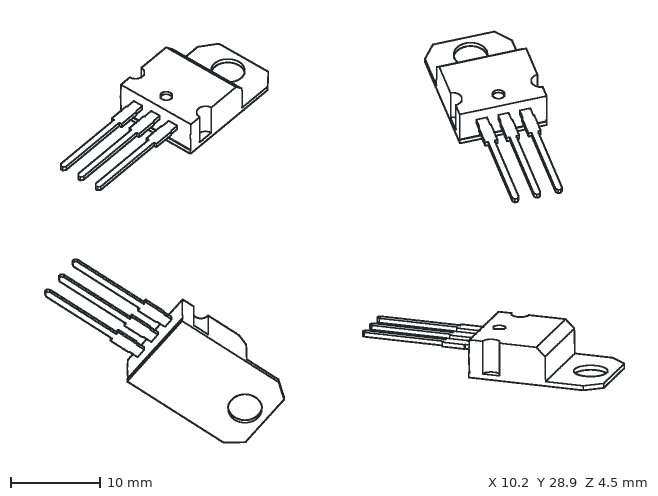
import cadquery as cq

width = 10.2
height = 4.5

tab_length = 15.5
tab_thickness = 0.55
tab_corner_x = 1.5
tab_corner_y = 1.92
hole_diameter = 3.8
hole_to_tab_end = 2.77

body_length = 9.12
parting_height = 2.65
front_top_inset = 0.08
front_bottom_inset = 0.08
back_draft = 0.06
bevel_length = 1.04
bevel_height = 1.0

notch_radius = 1.0
notch_y = 2.65
notch_floor = 0.62
mark_diameter = 1.4
mark_y = 1.9
mark_depth = 0.4

lead_count = 3
lead_pitch = 2.54
lead_thickness = 0.53
lead_reach = 13.4
lead_embed = 0.5
neck_width = 1.25
neck_length = 1.07
shoulder_width = 1.45
shoulder_end = 3.76
shoulder_bevel = (shoulder_width - neck_width) / 2
pin_width = 0.76
tip_bevel_x = 0.22
tip_bevel_y = 0.3


def make_tab():
    """Flat plate with two clipped far corners and a mounting hole."""
    half = width / 2
    plate = (
        cq.Workplane("XY")
        .polyline([
            (-half, 0),
            (half, 0),
            (half, tab_length - tab_corner_y),
            (half - tab_corner_x, tab_length),
            (-half + tab_corner_x, tab_length),
            (-half, tab_length - tab_corner_y),
        ])
        .close()
        .extrude(tab_thickness)
    )
    hole = (
        cq.Workplane("XY")
        .center(0, tab_length - hole_to_tab_end)
        .circle(hole_diameter / 2)
        .extrude(tab_thickness)
    )
    return plate.cut(hole)


def make_body():
    """Drafted side profile, in Y and Z, swept across the full width."""
    bevel_start_y = body_length - back_draft
    return (
        cq.Workplane("YZ")
        .polyline([
            (front_bottom_inset, tab_thickness),
            (0, parting_height),
            (front_top_inset, height),
            (bevel_start_y - bevel_length, height),
            (bevel_start_y, height - bevel_height),
            (body_length, tab_thickness),
        ])
        .close()
        .extrude(width / 2, both=True)
    )


def make_notches():
    """Round cutters centred on both side faces, standing on the notch floor."""
    return (
        cq.Workplane("XY")
        .workplane(offset=notch_floor)
        .pushPoints([(-width / 2, notch_y), (width / 2, notch_y)])
        .circle(notch_radius)
        .extrude(height - notch_floor)
    )


def make_pin_mark():
    """Shallow round cutter for the recess in the top face."""
    return (
        cq.Workplane("XY")
        .workplane(offset=height - mark_depth)
        .center(0, mark_y)
        .circle(mark_diameter / 2)
        .extrude(mark_depth)
    )


def make_lead(center_x):
    """Flat lead: neck, wider shoulder, then a narrow pin with a bevelled tip."""
    right_side = [
        (neck_width / 2, lead_embed),
        (neck_width / 2, -neck_length),
        (shoulder_width / 2, -neck_length - shoulder_bevel),
        (shoulder_width / 2, -shoulder_end),
        (pin_width / 2, -shoulder_end),
        (pin_width / 2, -lead_reach + tip_bevel_y),
        (pin_width / 2 - tip_bevel_x, -lead_reach),
    ]
    left_side = [(-x, y) for x, y in reversed(right_side)]
    return (
        cq.Workplane("XY")
        .workplane(offset=parting_height)
        .center(center_x, 0)
        .polyline(right_side + left_side)
        .close()
        .extrude(lead_thickness)
    )


package = make_tab().union(make_body())
package = package.cut(make_notches()).cut(make_pin_mark())
for index in range(lead_count):
    lead_x = (index - (lead_count - 1) / 2) * lead_pitch
    package = package.union(make_lead(lead_x))

result = package